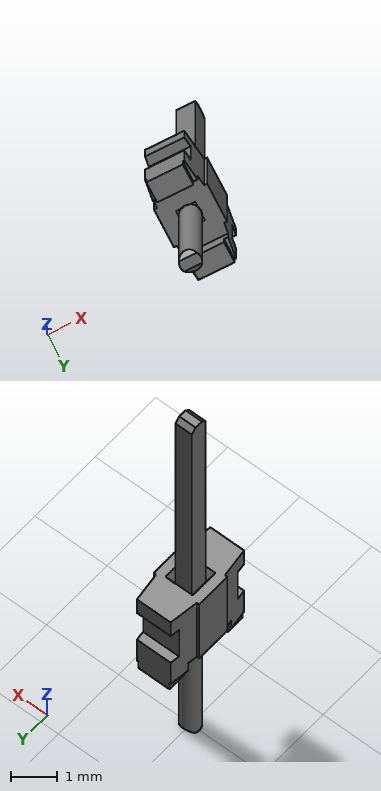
import cadquery as cq

overall_length = 11.43

housing_width = 1.27
housing_depth = 2.43
band_depth = 0.94
flank_root_width = 1.13
flank_end_width = 0.94

housing_height = 2.02
shoulder_height = 0.51
notch_height = 1.0
notch_depth = 0.24
foot_height = 0.51
foot_depth = 0.5
foot_tip_height = 0.24
foot_tip_width = 0.87

funnel_width = 0.75
funnel_depth = 0.31

square_pin_width = 0.46
square_pin_chamfer = 0.13
square_pin_rise = 5.84
round_pin_diameter = 0.5
round_pin_chamfer = 0.13
round_pin_length = overall_length - square_pin_rise - housing_height
square_pin_length = square_pin_rise + housing_height


def box_from(width, depth, bottom, top, center_y=0.0):
    """Box centred in X, spanning bottom to top in Z."""
    return (
        cq.Workplane("XY")
        .workplane(offset=bottom)
        .center(0, center_y)
        .rect(width, depth)
        .extrude(top - bottom)
    )


def make_plan_block():
    """Full-height housing block: a wide middle band with tapered flanks."""
    half_depth = housing_depth / 2
    flanks = (
        cq.Workplane("XY")
        .workplane(offset=-foot_height)
        .polyline([
            (-flank_end_width / 2, -half_depth),
            (flank_end_width / 2, -half_depth),
            (flank_root_width / 2, -band_depth / 2),
            (flank_root_width / 2, band_depth / 2),
            (flank_end_width / 2, half_depth),
            (-flank_end_width / 2, half_depth),
            (-flank_root_width / 2, band_depth / 2),
            (-flank_root_width / 2, -band_depth / 2),
        ])
        .close()
        .extrude(foot_height + housing_height)
    )
    band = box_from(housing_width, band_depth, 0, housing_height)
    return flanks.union(band)


def make_funnel():
    """Tapered opening that narrows down to the square pin."""
    return (
        cq.Workplane("XY")
        .workplane(offset=housing_height - funnel_depth)
        .rect(square_pin_width, square_pin_width)
        .workplane(offset=funnel_depth)
        .rect(funnel_width, funnel_width)
        .loft(combine=True)
    )


def make_housing():
    body = make_plan_block()

    foot_gap = housing_depth - 2 * foot_depth
    body = body.cut(box_from(housing_width, foot_gap, -foot_height, 0))

    notch_top = housing_height - shoulder_height
    notch_y = (housing_depth - notch_depth) / 2
    foot_y = (housing_depth - foot_depth) / 2
    foot_tip_top = foot_tip_height - foot_height
    for side in (-1, 1):
        notch = box_from(housing_width, notch_depth, notch_top - notch_height, notch_top, side * notch_y)
        body = body.cut(notch)

        foot_zone = box_from(housing_width, foot_depth, -foot_height, foot_tip_top, side * foot_y)
        foot_tip = box_from(foot_tip_width, foot_depth, -foot_height, foot_tip_top, side * foot_y)
        body = body.cut(foot_zone.cut(foot_tip))

    pin_hole = box_from(square_pin_width, square_pin_width, 0, housing_height)
    return body.cut(pin_hole).cut(make_funnel())


def make_square_pin():
    """Square pin through the housing, its top bevelled on the two Y sides."""
    pin = box_from(square_pin_width, square_pin_width, 0, square_pin_length)
    return pin.faces(">Z").edges("|X").chamfer(square_pin_chamfer)


def make_round_pin():
    """Round pin below the housing, its tip bevelled on the two Y sides."""
    pin = cq.Workplane("XY").circle(round_pin_diameter / 2).extrude(-round_pin_length)
    bevel_envelope = (
        box_from(round_pin_diameter, round_pin_diameter, -round_pin_length, 0)
        .faces("<Z")
        .edges("|X")
        .chamfer(round_pin_chamfer)
    )
    return pin.intersect(bevel_envelope)


housing = make_housing()
square_pin = make_square_pin()
round_pin = make_round_pin()

result = cq.Compound.makeCompound([housing.val(), square_pin.val(), round_pin.val()])